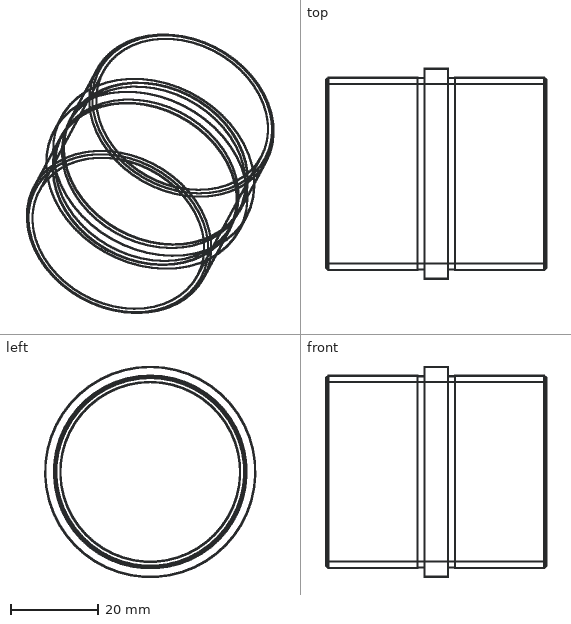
import cadquery as cq

length = 50.5
collar_diameter = 48.3
collar_width = 5.5
sleeve_diameter = 44.25
bore_diameter = 41.2
end_chamfer = 0.55
band_width = 8.6
band_drop = 0.1

half_length = length / 2
half_band = band_width / 2
half_collar = collar_width / 2
bore_radius = bore_diameter / 2
sleeve_radius = sleeve_diameter / 2
band_radius = sleeve_radius - band_drop
collar_radius = collar_diameter / 2

half_profile = [
    (half_length, bore_radius),
    (half_length, sleeve_radius - end_chamfer),
    (half_length - end_chamfer, sleeve_radius),
    (half_band, sleeve_radius),
    (half_band, band_radius),
    (half_collar, band_radius),
    (half_collar, collar_radius),
]
mirrored_profile = [(-x, radius) for x, radius in reversed(half_profile)]

axis_start = (0, 0, 0)
axis_end = (1, 0, 0)
result = (
    cq.Workplane("XZ")
    .polyline(half_profile + mirrored_profile)
    .close()
    .revolve(360, axis_start, axis_end)
)